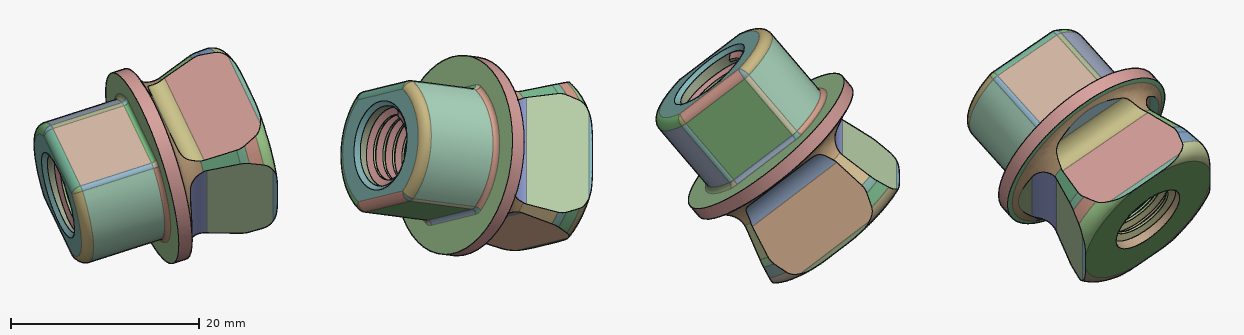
import cadquery as cq
import math


flange_diameter = 21.25
flange_thickness = 1.54
flange_top_slope = 15.0

shank_diameter = 15.6
shank_flats_width = 13.0
shank_length = 9.6
shank_side_edge_radius = 1.0
shank_end_radius = 1.0
shank_root_radius = 0.5

head_height = 10.6
head_face_width = 16.8
head_rim_height = 0.5
head_face_taper = 15.0
head_corner_radius = 10.0
head_rim_radius = 1.5
head_cylinder_depth = 3.43
head_corner_taper = 18.0
head_shoulder_radius = 3.0
face_cove_radius = 2.0
corner_cove_radius = 2.15
face_foot_height = 0.11

bore_diameter = 8.58
mouth_diameter = 9.53
thread_crest_diameter = 7.08
thread_pitch = 1.25
thread_root_width = 1.0
thread_crest_width = 0.28
thread_start_angle = 55.0
thread_embed = 0.1

head_end = flange_thickness + head_height
flange_radius = flange_diameter / 2


def tan_deg(angle):
    return math.tan(math.radians(angle))


def taper_and_slope_meet(start, taper, rim_y):
    """Meeting point of a line narrowing from `start` toward the flange and the flange slope.

    Both are lines in (radial distance, y); the slope passes the flange radius at `rim_y`.
    """
    taper_tan = tan_deg(taper)
    slope_tan = tan_deg(flange_top_slope)
    radius, y = start
    slope_y_at_start = rim_y + (flange_radius - radius) * slope_tan
    drop = (y - slope_y_at_start) / (1 + taper_tan * slope_tan)
    return radius - drop * taper_tan, y - drop


def circle_at(y):
    """Selector catching the circular edge at height y, whose centre lies on the axis."""
    margin = 0.01
    return cq.selectors.BoxSelector(
        (-margin, y - margin, -margin),
        (margin, y + margin, margin),
    )


def make_round_body():
    """Turned body: flange, corner cones of the head and the cove between them."""
    corner_start = (head_corner_radius, head_end - head_cylinder_depth)
    waist = taper_and_slope_meet(corner_start, head_corner_taper, flange_thickness)
    body = (
        cq.Workplane("XY")
        .moveTo(0, 0)
        .lineTo(flange_radius, 0)
        .lineTo(flange_radius, flange_thickness)
        .lineTo(*waist)
        .lineTo(*corner_start)
        .lineTo(head_corner_radius, head_end)
        .lineTo(0, head_end)
        .close()
        .revolve(360, (0, 0, 0), (0, 1, 0))
    )
    body = body.edges(circle_at(waist[1])).fillet(corner_cove_radius)
    body = body.edges(circle_at(corner_start[1])).fillet(head_shoulder_radius)
    return body.edges(circle_at(head_end)).fillet(head_rim_radius)


def make_face_envelope():
    """Bar along Z whose two flared sides carry one opposite pair of head faces."""
    half_width = head_face_width / 2
    flare_start = (half_width, head_end - head_rim_height)
    rim_y = flange_thickness + face_foot_height
    waist_x, waist_y = taper_and_slope_meet(flare_start, head_face_taper, rim_y)
    right_side = [
        (flange_radius, 0),
        (flange_radius, rim_y),
        (waist_x, waist_y),
        flare_start,
        (half_width, head_end),
    ]
    left_side = [(-x, y) for x, y in reversed(right_side)]
    bar = cq.Workplane("XY").polyline(right_side + left_side).close().extrude(flange_radius, both=True)
    for x in (waist_x, -waist_x):
        bar = bar.edges(cq.selectors.NearestToPointSelector((x, waist_y, 0))).fillet(face_cove_radius)
    return bar


def make_head_and_flange():
    envelope = make_face_envelope()
    turned_envelope = envelope.rotate((0, 0, 0), (0, 1, 0), 90)
    return make_round_body().intersect(envelope).intersect(turned_envelope)


def make_shank():
    """Shank ending at y = 0, its free end rounded."""
    flats = cq.Workplane("XZ").rect(flange_diameter, shank_flats_width).extrude(shank_length)
    shank = cq.Workplane("XZ").circle(shank_diameter / 2).extrude(shank_length).intersect(flats)
    shank = shank.edges("|Y").fillet(shank_side_edge_radius)
    return shank.faces("<Y").edges().fillet(shank_end_radius)


def join_shank(head_and_flange):
    """Fuse the shank to the flange and round the corner between them."""
    joined = head_and_flange.union(make_shank())
    half_thickness = shank_flats_width / 2
    margin = shank_root_radius / 2
    root = cq.selectors.BoxSelector(
        (-shank_diameter / 2 - margin, -margin, -half_thickness - margin),
        (shank_diameter / 2 + margin, margin, half_thickness + margin),
        boundingbox=True,
    )
    return joined.edges(root).fillet(shank_root_radius)


def make_bore():
    """Through bore with a 45 degree countersink at the shank end."""
    bore_radius = bore_diameter / 2
    mouth_radius = mouth_diameter / 2
    mouth_depth = mouth_radius - bore_radius
    return (
        cq.Workplane("XY")
        .moveTo(0, -shank_length)
        .lineTo(mouth_radius, -shank_length)
        .lineTo(bore_radius, -shank_length + mouth_depth)
        .lineTo(bore_radius, head_end)
        .lineTo(0, head_end)
        .close()
        .revolve(360, (0, 0, 0), (0, 1, 0))
    )


def make_thread_ridge():
    """Right-hand ridge on the bore wall, built along Z and then laid along Y."""
    bore_radius = bore_diameter / 2
    crest_radius = thread_crest_diameter / 2
    start_y = -shank_length + mouth_diameter / 2 - bore_radius + thread_root_width / 2
    turns = math.floor((head_end - start_y - thread_root_width / 2) / thread_pitch)
    helix = cq.Wire.makeHelix(thread_pitch, turns * thread_pitch, bore_radius)
    half_root = thread_root_width / 2
    half_crest = thread_crest_width / 2
    flank_slope = (half_root - half_crest) / (bore_radius - crest_radius)
    embedded_radius = bore_radius + thread_embed
    half_base = half_root + thread_embed * flank_slope
    ridge = (
        cq.Workplane("XZ")
        .moveTo(embedded_radius, -half_base)
        .lineTo(crest_radius, -half_crest)
        .lineTo(crest_radius, half_crest)
        .lineTo(embedded_radius, half_base)
        .close()
        .sweep(cq.Workplane(helix), isFrenet=True)
    )
    ridge = ridge.rotate((0, 0, 0), (1, 0, 0), -90)
    ridge = ridge.rotate((0, 0, 0), (0, 1, 0), -thread_start_angle)
    return ridge.translate((0, start_y, 0))


body = join_shank(make_head_and_flange())
result = body.cut(make_bore()).union(make_thread_ridge())